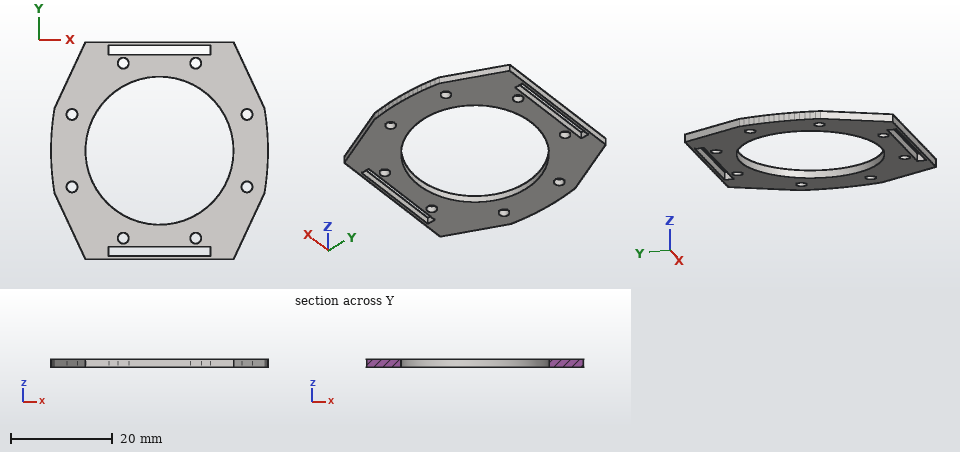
import cadquery as cq
import math

width = 42.61
length = 42.61
thickness = 1.6

end_edge_width = 29.1
side_radius = 50.0
side_flat_count = 16
side_flat_angle = 1.2

bore_diameter = 29.0
screw_hole_diameter = 2.1
screw_circle_diameter = 37.15
screw_hole_count = 8
slot_length = 20.0
slot_width = 1.8
slot_edge_margin = 0.65


def bulged_side_points():
    """Corners of the flats on the +X side, from -Y to +Y."""
    circle_center_x = width / 2 - side_radius
    points = []
    for i in range(side_flat_count + 1):
        angle = math.radians((i - side_flat_count / 2) * side_flat_angle)
        x = circle_center_x + side_radius * math.cos(angle)
        y = side_radius * math.sin(angle)
        points.append((x, y))
    return points


def make_plate():
    """Plate centred on the origin in X and Y, resting on Z = 0."""
    half_end = end_edge_width / 2
    half_length = length / 2
    right_half = [(half_end, -half_length)] + bulged_side_points() + [(half_end, half_length)]
    left_half = [(-x, -y) for x, y in right_half]
    return cq.Workplane("XY").polyline(right_half + left_half).close().extrude(thickness)


def make_bore():
    """Large central through opening."""
    return cq.Workplane("XY").circle(bore_diameter / 2).extrude(thickness)


def make_screw_holes():
    """Ring of through holes, placed half a step off the X axis."""
    step = 360 / screw_hole_count
    return (
        cq.Workplane("XY")
        .polarArray(screw_circle_diameter / 2, step / 2, 360, screw_hole_count)
        .circle(screw_hole_diameter / 2)
        .extrude(thickness)
    )


def make_strap_slots():
    """Rectangular through slots just inside the two straight ends."""
    slot_y = length / 2 - slot_edge_margin - slot_width / 2
    return (
        cq.Workplane("XY")
        .pushPoints([(0, -slot_y), (0, slot_y)])
        .rect(slot_length, slot_width)
        .extrude(thickness)
    )


result = make_plate().cut(make_bore()).cut(make_screw_holes()).cut(make_strap_slots())